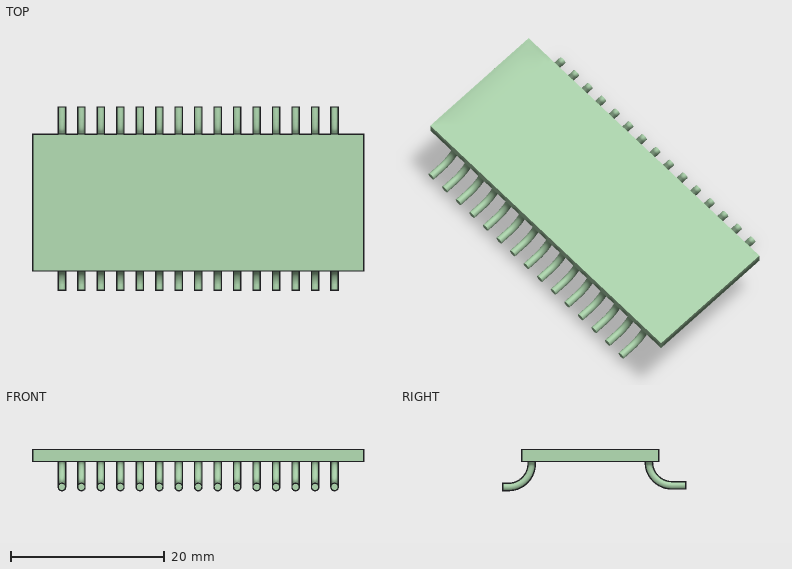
import cadquery as cq

plate_length = 43.2
plate_width = 17.88
plate_thickness = 1.6

overall_height = 5.4
pin_diameter = 1.0
pin_count = 15
row_length = 35.55
pin_pitch = row_length / (pin_count - 1)
pin_inset = 1.3
bend_radius = 3.02

back_overhang = 3.55
front_overhang = 2.5
front_drop = overall_height - plate_thickness - pin_diameter / 2
row_height_difference = 0.2
back_drop = front_drop - row_height_difference


def make_pin(drop, overhang):
    """Pin at the origin, going down by drop and then bending toward +Y."""
    bend_start = bend_radius - drop
    foot_end = pin_inset + overhang
    path = (
        cq.Workplane("YZ")
        .lineTo(0, bend_start)
        .radiusArc((bend_radius, -drop), -bend_radius)
        .lineTo(foot_end, -drop)
    )
    return cq.Workplane("XY").circle(pin_diameter / 2).sweep(path)


result = cq.Workplane("XY").box(
    plate_length, plate_width, plate_thickness, centered=(True, True, False)
)

row_offset = plate_width / 2 - pin_inset
back_pin = make_pin(back_drop, back_overhang).translate((0, row_offset, 0))
front_pin = (
    make_pin(front_drop, front_overhang)
    .mirror("XZ")
    .translate((0, -row_offset, 0))
)

for index in range(pin_count):
    pin_x = index * pin_pitch - row_length / 2
    for pin in (back_pin, front_pin):
        result = result.union(pin.translate((pin_x, 0, 0)))